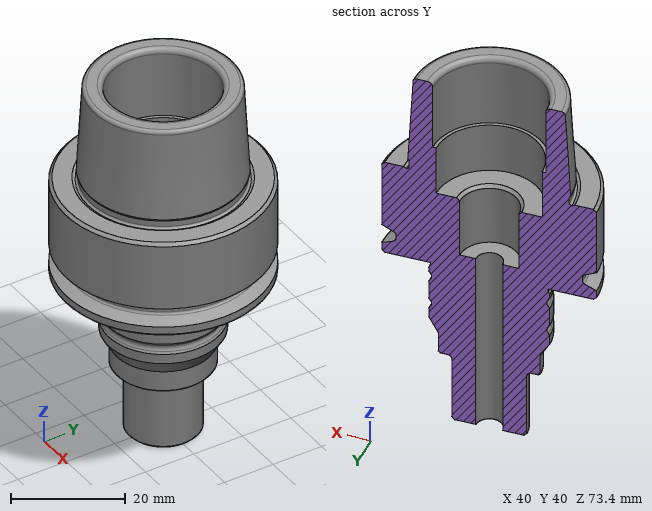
import cadquery as cq
import math

length = 73.4

flange_radius = 40.0 / 2
flange_top = 53.4
flange_bottom = 33.5
flange_chamfer = 0.6
groove_floor_radius = 34.8 / 2
groove_top = 39.5
groove_floor_top = 38.25
groove_floor_bottom = 36.6
groove_floor_fillet = 0.5
groove_bottom = 35.6

taper_top_radius = 14.2
taper_foot_radius = 15.2
taper_foot = 55.2
taper_edge_radius = 0.7
relief_radius = 29.9 / 2
relief_top = 54.75
recess_floor = flange_top - 0.3
relief_fillet = 0.45
recess_rim_radius = 15.9

body_radius = 22.5 / 2
neck_radius = 11.0
neck_flare_top = 33.1
neck_flare_bottom = 32.4
ring_groove_depth = 0.5
ring_groove_side = 0.45
ring_groove_spans = [(31.55, 29.35), (25.6, 23.4)]
cone_top = 21.4
cone_bottom = 18.4

shoulder_radius = 19.0 / 2
shoulder_bottom = 14.0
shoulder_chamfer = 0.4
spigot_radius = 14.0 / 2
spigot_fillet = 0.7
spigot_chamfer = 0.6

bore_radius = 21.0 / 2
bore_edge_radius = 1.0
bore_step = 59.15
inner_bore_radius = 9.8
inner_bore_floor = 49.2
pocket_radius = 10.9 / 2
pocket_chamfer = 0.6
pocket_floor = 36.7
through_hole_radius = 5.0 / 2


def draw_ring_groove(profile, top, bottom):
    """Add one ring groove to the profile: two sloped sides joined by a shallow arc."""
    corner_radius = body_radius - ring_groove_depth / 2
    floor_radius = body_radius - ring_groove_depth
    return (
        profile.lineTo(body_radius, top)
        .lineTo(corner_radius, top - ring_groove_side)
        .threePointArc(
            (floor_radius, (top + bottom) / 2),
            (corner_radius, bottom + ring_groove_side),
        )
        .lineTo(body_radius, bottom)
    )


def make_outside():
    """Revolve the outer profile, drawn from the top down to the spigot end."""
    profile = (
        cq.Workplane("XZ")
        .moveTo(0, length)
        .lineTo(taper_top_radius, length)
        .lineTo(taper_foot_radius, taper_foot)
        .lineTo(relief_radius, relief_top)
        .lineTo(relief_radius, recess_floor + relief_fillet)
        .radiusArc((relief_radius + relief_fillet, recess_floor), -relief_fillet)
        .lineTo(recess_rim_radius, flange_top)
        .lineTo(flange_radius - flange_chamfer, flange_top)
        .lineTo(flange_radius, flange_top - flange_chamfer)
        .lineTo(flange_radius, groove_top)
        .lineTo(groove_floor_radius, groove_floor_top)
        .lineTo(groove_floor_radius, groove_floor_bottom)
        .lineTo(flange_radius, groove_bottom)
        .lineTo(flange_radius, flange_bottom + flange_chamfer)
        .lineTo(flange_radius - flange_chamfer, flange_bottom)
        .lineTo(neck_radius, flange_bottom)
        .lineTo(neck_radius, neck_flare_top)
        .lineTo(body_radius, neck_flare_bottom)
    )
    for top, bottom in ring_groove_spans:
        profile = draw_ring_groove(profile, top, bottom)
    profile = (
        profile.lineTo(body_radius, cone_top)
        .lineTo(shoulder_radius, cone_bottom)
        .lineTo(shoulder_radius, shoulder_bottom + shoulder_chamfer)
        .lineTo(shoulder_radius - shoulder_chamfer, shoulder_bottom)
        .lineTo(spigot_radius + spigot_fillet, shoulder_bottom)
        .radiusArc((spigot_radius, shoulder_bottom - spigot_fillet), -spigot_fillet)
        .lineTo(spigot_radius, spigot_chamfer)
        .lineTo(spigot_radius - spigot_chamfer, 0)
        .lineTo(0, 0)
        .close()
    )
    outside = profile.revolve(360, (0, 0, 0), (0, 1, 0))
    outside = outside.faces(">Z").edges().fillet(taper_edge_radius)
    groove_corners = [
        edge
        for edge in outside.edges("%CIRCLE").vals()
        if math.isclose(edge.radius(), groove_floor_radius, abs_tol=0.0001)
    ]
    return outside.newObject(groove_corners).fillet(groove_floor_fillet)


def make_bore():
    """Revolve the stepped bore, drawn from the through hole up to the open end."""
    return (
        cq.Workplane("XZ")
        .lineTo(through_hole_radius, 0)
        .lineTo(through_hole_radius, pocket_floor)
        .lineTo(pocket_radius, pocket_floor)
        .lineTo(pocket_radius, inner_bore_floor - pocket_chamfer)
        .lineTo(pocket_radius + pocket_chamfer, inner_bore_floor)
        .lineTo(inner_bore_radius, inner_bore_floor)
        .lineTo(inner_bore_radius, bore_step)
        .lineTo(bore_radius, bore_step)
        .lineTo(bore_radius, length - bore_edge_radius)
        .radiusArc((bore_radius + bore_edge_radius, length), bore_edge_radius)
        .lineTo(0, length)
        .close()
        .revolve(360, (0, 0, 0), (0, 1, 0))
    )


result = make_outside().cut(make_bore())